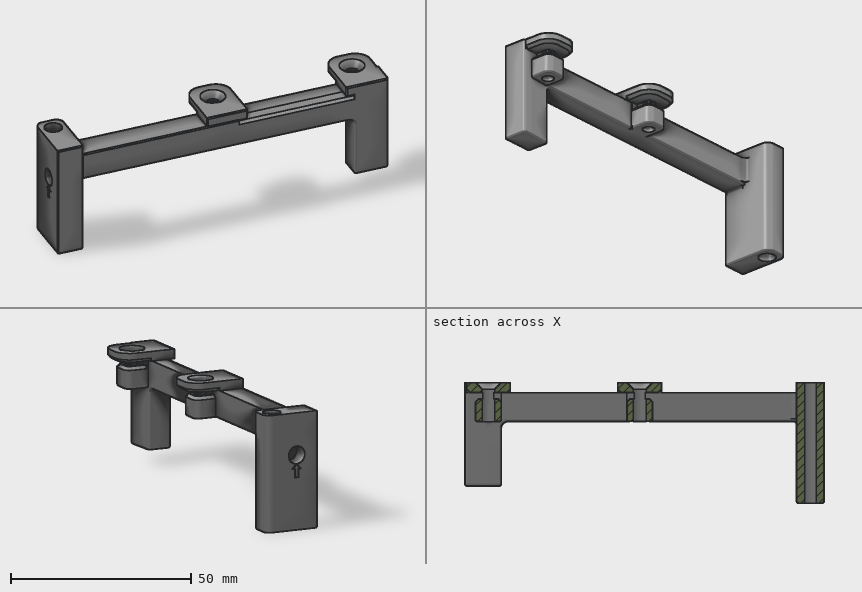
import cadquery as cq

total_length = 99.75
leg_height = 33.5
edge_round = 0.75
mount_edge_chamfer = 0.35

bar_top = -2.75
bar_bottom = -10.85
bar_width = 7.5
bar_height = bar_top - bar_bottom
recess_depth = 0.35
bevel_start = 2.65
bevel_chamfer = 0.78
bevel_drop = 0.77

leg_width = 16.17
leg_depth = 7.7
leg_corner_radius = 2.2
leg_foot_round = 0.7
leg_bar_radius = 1.5
leg_underside_radius = 0.7
cord_hole_diameter = 5.0
cord_hole_x = -12.3
face_hole_diameter = 5.0
face_hole_depth = 5.0
face_hole_x = -6.5
face_hole_z = -12.0

arrow_depth = 0.3
arrow_head_width = 2.5
arrow_head_height = 1.5
arrow_shaft_width = 1.1
arrow_length = 3.9

post_height = 28.75
post_inner_radius = 1.8

ear_size = 12.2
ear_corner_radius = 4.5
ear_left = -16.48
ear_x = ear_left + ear_size / 2
ear_pitch = 42.0
rear_ear_y = 93.2
ear_positions = (rear_ear_y - ear_pitch, rear_ear_y)
ear_edge_chamfer = 0.9
boss_inset = 2.5
boss_size = ear_size - 2 * boss_inset
boss_corner_radius = ear_corner_radius - boss_inset
boss_top = -4.5
neck_size = 3.0
screw_hole_diameter = 3.4
countersink_diameter = 7.1
countersink_angle = 90.0

recess_start = ear_positions[0] + boss_size / 2
post_front = rear_ear_y - boss_size / 2


def block(x_range, y_range, z_range):
    """Axis-aligned box between the given limits."""
    lows, highs = zip(x_range, y_range, z_range)
    sizes = [high - low for low, high in zip(lows, highs)]
    return cq.Workplane("XY").box(*sizes, centered=False).translate(lows)


def make_leg():
    leg = block((-leg_width, 0), (0, leg_depth), (-leg_height, 0))
    leg = leg.edges("|Z and <X").fillet(leg_corner_radius)
    leg = leg.faces("<Z").edges("not >X").fillet(leg_foot_round)
    return leg.faces(">X").edges().chamfer(mount_edge_chamfer)


def make_front_bar():
    """Bar from the front leg to the recess."""
    bar = block((-bar_width, 0), (leg_depth, recess_start), (bar_bottom, bar_top))
    bar = bar.faces("<Z").edges("|Y").fillet(edge_round)
    return bar.edges("|Y and >Z and >X").chamfer(mount_edge_chamfer)


def make_rear_angle():
    """Recessed length of bar turning down into the rear post, with its inside edges rounded."""
    angle = (
        cq.Workplane("YZ", origin=(recess_depth - bar_width, 0, 0))
        .moveTo(recess_start, bar_top)
        .lineTo(total_length, bar_top)
        .lineTo(total_length, -post_height)
        .lineTo(post_front, -post_height)
        .lineTo(post_front, bar_bottom - post_inner_radius)
        .radiusArc((post_front - post_inner_radius, bar_bottom), -post_inner_radius)
        .lineTo(recess_start, bar_bottom)
        .close()
        .extrude(bar_width - recess_depth)
    )
    inside_faces = cq.selectors.BoxSelector(
        (edge_round - bar_width, recess_start, -post_height + edge_round),
        (-edge_round, post_front + edge_round, bar_bottom + edge_round),
    )
    angle = angle.faces(inside_faces).edges("<X or >X").fillet(edge_round)
    return angle.cut(make_bevel())


def make_bevel():
    """Corner removed from the bar's top edge between the two ears."""
    gentle_end = bar_top - bevel_drop
    return (
        cq.Workplane("XZ", origin=(0, ear_positions[1], 0))
        .moveTo(-bevel_start, bar_top)
        .lineTo(-bevel_chamfer, gentle_end)
        .lineTo(0, gentle_end - bevel_chamfer)
        .lineTo(0, bar_top)
        .close()
        .extrude(ear_pitch)
    )


def make_post_side():
    """Rear post cladding; below the bar its -X face runs askew to meet the recess."""
    skew_start = rear_ear_y + boss_size / 2
    lower = (
        cq.Workplane("XY", origin=(0, 0, -post_height))
        .moveTo(-edge_round, post_front + edge_round)
        .lineTo(recess_depth - bar_width, post_front + edge_round)
        .lineTo(-bar_width, skew_start)
        .lineTo(-bar_width, total_length)
        .lineTo(-edge_round, total_length)
        .close()
        .extrude(post_height + bar_bottom + edge_round)
    )
    upper = block((-bar_width, 0), (post_front, total_length), (bar_bottom + edge_round, 0))
    upper = upper.edges("|Y and >X and >Z").chamfer(mount_edge_chamfer)
    return lower.union(upper, clean=True)


def make_rear():
    rear = make_rear_angle().union(make_post_side(), clean=True)
    rear = rear.faces(">Y").edges("|Z").fillet(edge_round)
    return rear.faces("<Z").edges().fillet(edge_round)


def rounded_tongue(size, corner_radius, z_range):
    """Plate that reaches from the mounting side to -X, with two rounded free corners."""
    half = size / 2
    tongue = block((ear_x - half, 0), (-half, half), z_range)
    if corner_radius:
        tongue = tongue.edges("|Z and <X").fillet(corner_radius)
    return tongue


def make_ear():
    """Ear, neck and boss around y = 0."""
    ear = rounded_tongue(ear_size, ear_corner_radius, (bar_top, 0))
    ear = ear.faces("<Z").edges("not >X").chamfer(ear_edge_chamfer)
    ear = ear.union(block((-bar_width, 0), (-ear_size / 2, ear_size / 2), (bar_top, 0)))
    ear = ear.faces(">X").edges("not <Z").chamfer(mount_edge_chamfer)
    boss = rounded_tongue(boss_size, boss_corner_radius, (bar_bottom, boss_top))
    boss = boss.faces(">Z").edges("not >X").chamfer(ear_edge_chamfer)
    boss = boss.faces("<Z").edges().fillet(edge_round)
    neck = rounded_tongue(neck_size, 0, (boss_top - ear_edge_chamfer, bar_top))
    neck = neck.intersect(block((ear_left, -bar_width), (-ear_size, ear_size), (bar_bottom, 0)))
    return ear.union(boss.union(neck))


def make_arrow():
    half_head = arrow_head_width / 2
    half_shaft = arrow_shaft_width / 2
    tip_z = face_hole_z - face_hole_diameter / 2
    return (
        cq.Workplane("XZ", origin=(face_hole_x, arrow_depth, tip_z))
        .moveTo(0, 0)
        .lineTo(half_head, -arrow_head_height)
        .lineTo(half_shaft, -arrow_head_height)
        .lineTo(half_shaft, -arrow_length)
        .lineTo(-half_shaft, -arrow_length)
        .lineTo(-half_shaft, -arrow_head_height)
        .lineTo(-half_head, -arrow_head_height)
        .close()
        .extrude(arrow_depth)
    )


def make_corner_fills():
    """Inside corners between the bar and the front leg: beside the bar and under it."""
    side = (
        cq.Workplane("XY", origin=(0, 0, bar_bottom + edge_round))
        .moveTo(-bar_width, leg_depth)
        .lineTo(-bar_width - leg_bar_radius, leg_depth)
        .radiusArc((-bar_width, leg_depth + leg_bar_radius), -leg_bar_radius)
        .close()
        .extrude(bar_height - edge_round)
    )
    under = (
        cq.Workplane("YZ", origin=(edge_round - bar_width, 0, 0))
        .moveTo(leg_depth, bar_bottom)
        .lineTo(leg_depth, bar_bottom - leg_underside_radius)
        .radiusArc((leg_depth + leg_underside_radius, bar_bottom), leg_underside_radius)
        .close()
        .extrude(bar_width - 2 * edge_round)
    )
    return side.union(under)


def drill(body):
    for y in ear_positions:
        body = (
            body.faces(">Z")
            .workplane(origin=(ear_x, y, 0))
            .cskHole(screw_hole_diameter, countersink_diameter, countersink_angle)
        )
    body = (
        body.faces(">Z")
        .workplane(origin=(cord_hole_x, leg_depth / 2, 0))
        .hole(cord_hole_diameter)
    )
    return (
        body.faces("<Y")
        .workplane(origin=(face_hole_x, 0, face_hole_z))
        .hole(face_hole_diameter, face_hole_depth)
    )


frame = make_leg().union(make_front_bar()).union(make_rear()).union(make_corner_fills())
for y in ear_positions:
    frame = frame.union(make_ear().translate((0, y, 0)))
result = drill(frame).cut(make_arrow())